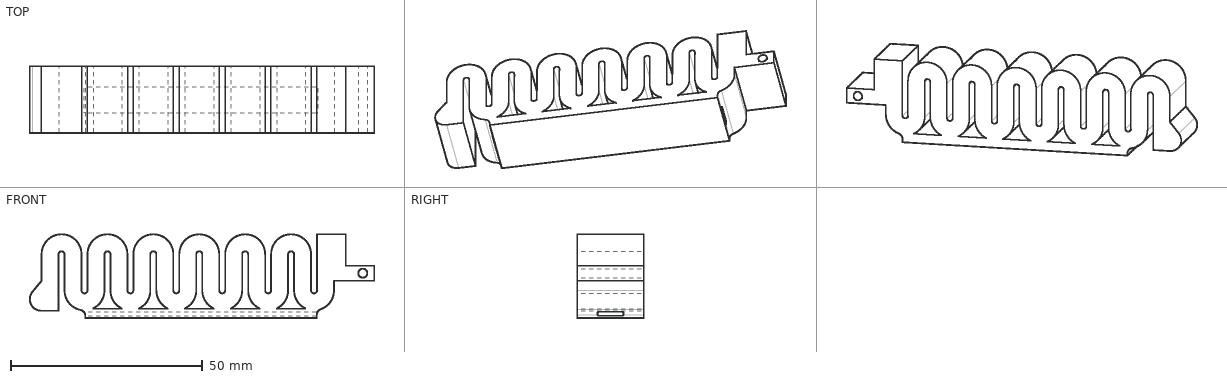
import cadquery as cq
import math

overall_length = 90.07
overall_height = 21.95
width = 17.5

arch_count = 6
pitch = 12.0
wall = 4.5
inner_radius = (pitch / 2 - wall) / 2
outer_radius = inner_radius + wall
first_arch_x = 8.32
arch_center_z = overall_height - outer_radius
valley_center_z = 7.25
arch_centers = [first_arch_x + i * pitch for i in range(arch_count)]
valley_centers = [x + pitch / 2 for x in arch_centers]

bar_start = 14.5
bar_thickness = 2.5
bar_fillet = 1.5

slot_width = 6.8
slot_height = 1.0
slot_floor = 0.65
slot_corner_radius = 0.45

foot_radius = 3.05
foot_bottom = 1.9
foot_shoulder_z = 9.75

block_width = 7.6
tab_bottom = 9.75
tab_thickness = 4.0
tab_hole_diameter = 2.3
tab_hole_inset = 3.0

first_leg_left = first_arch_x - outer_radius
first_leg_right = first_arch_x - inner_radius
block_left = valley_centers[-1] + inner_radius
block_right = block_left + block_width
bar_end = block_left


def profile():
    """XZ sketch plane on the +Y side, so that positive extrusion runs toward -Y."""
    return cq.Workplane("XZ", origin=(0, width / 2, 0))


def box(x_min, x_max, z_min, z_max):
    """Full-width block between two X and two Z limits."""
    size_x = x_max - x_min
    size_z = z_max - z_min
    return profile().moveTo(x_min, z_min).rect(size_x, size_z, centered=False).extrude(width)


def half_ring(x, z, side):
    """Half-round bend about (x, z): side is +1 for an arch and -1 for a valley."""
    return (
        profile()
        .moveTo(x - outer_radius, z)
        .threePointArc((x, z + side * outer_radius), (x + outer_radius, z))
        .lineTo(x + inner_radius, z)
        .threePointArc((x, z + side * inner_radius), (x - inner_radius, z))
        .close()
        .extrude(width)
    )


def serpentine():
    """Arches, valleys and the straight legs between them."""
    body = box(first_leg_left, first_leg_right, valley_center_z, arch_center_z)
    for arch_x, valley_x in zip(arch_centers, valley_centers):
        body = body.union(half_ring(arch_x, arch_center_z, 1))
        body = body.union(half_ring(valley_x, valley_center_z, -1))
        leg_left = arch_x + inner_radius
        body = body.union(box(leg_left, leg_left + wall, valley_center_z, arch_center_z))
    for arch_x in arch_centers[1:]:
        leg_right = arch_x - inner_radius
        body = body.union(box(leg_right - wall, leg_right, valley_center_z, arch_center_z))
    return body


def bar_end_fillet(end_x, valley_x, side):
    """Bottom, middle and top points of the concave fillet from a bar end to its valley.

    side is -1 at the left end of the bar and +1 at the right end.
    """
    center_x = end_x + side * bar_fillet
    reach = outer_radius + bar_fillet
    drop = math.sqrt(reach**2 - (center_x - valley_x) ** 2)
    center_z = valley_center_z - drop
    tangent_angle = math.asin(drop / reach)
    middle_angle = tangent_angle / 2
    bottom = (end_x, center_z)
    middle = (
        center_x - side * bar_fillet * math.cos(middle_angle),
        center_z + bar_fillet * math.sin(middle_angle),
    )
    top = (
        center_x - side * bar_fillet * math.cos(tangent_angle),
        center_z + bar_fillet * math.sin(tangent_angle),
    )
    return bottom, middle, top


def base_bar():
    """Flat bar under the valleys, blended into the outermost two."""
    left_bottom, left_middle, left_top = bar_end_fillet(bar_start, valley_centers[0], -1)
    right_bottom, right_middle, right_top = bar_end_fillet(bar_end, valley_centers[-1], 1)
    return (
        profile()
        .moveTo(bar_start, 0)
        .lineTo(*left_bottom)
        .threePointArc(left_middle, left_top)
        .lineTo(valley_centers[0], bar_thickness)
        .lineTo(valley_centers[-1], bar_thickness)
        .lineTo(*right_top)
        .threePointArc(right_middle, right_bottom)
        .lineTo(bar_end, 0)
        .close()
        .extrude(width)
    )


def bar_slot():
    """Rounded rectangular tunnel through the base bar along X."""
    center_z = slot_floor + slot_height / 2
    return (
        cq.Workplane("YZ", origin=(0, 0, center_z))
        .rect(slot_width, slot_height)
        .extrude(overall_length)
        .edges("|X")
        .fillet(slot_corner_radius)
    )


def hook_foot():
    """Rounded foot whose sloped top runs tangentially from the round to the first leg."""
    center_x = foot_radius
    center_z = foot_bottom + foot_radius
    shoulder_dx = first_leg_left - center_x
    shoulder_dz = foot_shoulder_z - center_z
    shoulder_distance = math.hypot(shoulder_dx, shoulder_dz)
    tangent_angle = math.atan2(shoulder_dz, shoulder_dx) + math.acos(foot_radius / shoulder_distance)
    tangent_point = (
        center_x + foot_radius * math.cos(tangent_angle),
        center_z + foot_radius * math.sin(tangent_angle),
    )
    return (
        profile()
        .moveTo(first_leg_right, foot_bottom)
        .lineTo(center_x, foot_bottom)
        .threePointArc((0, center_z), tangent_point)
        .lineTo(first_leg_left, foot_shoulder_z)
        .lineTo(first_leg_right, foot_shoulder_z)
        .close()
        .extrude(width)
    )


def end_block():
    """Last leg, square block on top of it and the drilled tab."""
    leg = box(block_left, block_left + wall, valley_center_z, tab_bottom)
    block = box(block_left, block_right, tab_bottom, overall_height)
    tab = box(block_left, overall_length, tab_bottom, tab_bottom + tab_thickness)
    hole = (
        profile()
        .center(overall_length - tab_hole_inset, tab_bottom + tab_thickness / 2)
        .circle(tab_hole_diameter / 2)
        .extrude(width)
    )
    return leg.union(block).union(tab).cut(hole)


strip = serpentine().union(hook_foot()).union(end_block())
strip = strip.union(base_bar()).cut(bar_slot())
result = strip.clean()